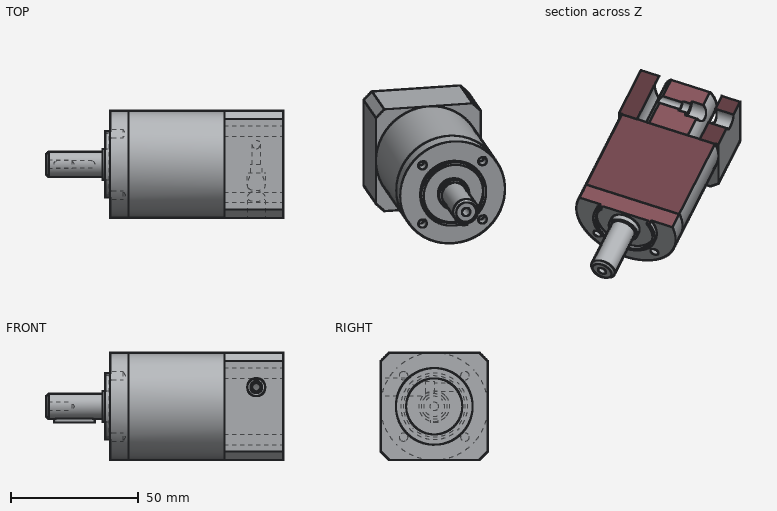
import cadquery as cq
import math


total_length = 92.7
body_width = 42.0
flange_thickness = 7.2
ring_length = 37.45
block_length = 23.0
block_corner_cut = 3.3

collar_diameter = 26.05
collar_height = 2.0
collar_recess_diameter = 24.0
collar_recess_depth = 1.5
shaft_diameter = 10.0
shaft_chamfer = 1.0
shoulder_diameter = 12.05
shoulder_height = 3.1
key_width = 3.0
key_length = 16.0
key_height = 1.4
key_tip_gap = 3.0

tapped_diameter = 3.3
drill_point_angle = 118
flange_hole_depth = 5.0
flange_hole_spacing = 24.0
shaft_hole_depth = 10.0

bore_diameter = 30.0
hub_diameter = 22.0
screw_height = 7.5
screw_end_distance = 10.6
access_diameter = 7.0
screw_seat_offset = 3.4
screw_clearance_diameter = 4.5

block_start = flange_thickness + ring_length
block_end = block_start + block_length
shaft_tip = block_end - total_length
screw_x = block_end - screw_end_distance


def cylinder_x(diameter, start, end):
    """Cylinder on the gearbox axis between two X positions."""
    return cq.Workplane("YZ").workplane(offset=start).circle(diameter / 2).extrude(end - start)


def cylinder_y(diameter, start, end):
    """Cylinder on the clamping screw axis between two Y positions."""
    return (
        cq.Workplane("XZ", origin=(screw_x, start, screw_height))
        .circle(diameter / 2)
        .extrude(start - end)
    )


def drilled_hole(start, depth, y=0, z=0):
    """Blind hole along +X with a conical drill point."""
    radius = tapped_diameter / 2
    point_length = radius / math.tan(math.radians(drill_point_angle / 2))
    profile = [(0, 0), (0, radius), (depth, radius), (depth + point_length, 0)]
    return (
        cq.Workplane("XY")
        .polyline(profile)
        .close()
        .revolve(360, (0, 0, 0), (1, 0, 0))
        .translate((start, y, z))
    )


def make_key():
    """Round-ended key on the -Z side of the shaft, reaching from the shaft axis outwards."""
    height = shaft_diameter / 2 + key_height
    return (
        cq.Workplane("XY")
        .center(shaft_tip + key_tip_gap + key_length / 2, 0)
        .slot2D(key_length, key_width)
        .extrude(-height)
    )


def make_output():
    """Output flange with its centring collar, shaft and key."""
    recess_floor = -collar_height + collar_recess_depth
    flange = cylinder_x(body_width, 0, flange_thickness)
    flange = flange.union(cylinder_x(collar_diameter, -collar_height, 0))
    flange = flange.cut(cylinder_x(collar_recess_diameter, -collar_height, recess_floor))
    hole_places = (-flange_hole_spacing / 2, flange_hole_spacing / 2)
    for y in hole_places:
        for z in hole_places:
            flange = flange.cut(drilled_hole(0, flange_hole_depth, y, z))

    shaft = cylinder_x(shaft_diameter, shaft_tip, recess_floor).faces("<X").chamfer(shaft_chamfer)
    shoulder = cylinder_x(shoulder_diameter, -shoulder_height, recess_floor)
    shaft = shaft.union(shoulder).union(make_key())
    shaft = shaft.cut(drilled_hole(shaft_tip, shaft_hole_depth))
    return flange.union(shaft)


def make_ring():
    """Round gear housing between the flange and the block."""
    return cylinder_x(body_width, flange_thickness, block_start)


def make_block():
    """Square input block with cut corners, a through bore and the screw access hole."""
    block = (
        cq.Workplane("YZ")
        .workplane(offset=block_start)
        .rect(body_width, body_width)
        .extrude(block_length)
        .edges("|X")
        .chamfer(block_corner_cut)
    )
    block = block.cut(cylinder_x(bore_diameter, block_start, block_end))
    return block.cut(cylinder_y(access_diameter, -body_width / 2, 0))


def make_hub():
    """Clamping hub with a sunk screw seat, a clearance hole to mid-plane and a tapped hole beyond."""
    hub = cylinder_x(hub_diameter, block_start, block_end)
    hub = hub.cut(cylinder_y(access_diameter, -hub_diameter / 2, -screw_seat_offset))
    hub = hub.cut(cylinder_y(screw_clearance_diameter, -screw_seat_offset, 0))
    return hub.cut(cylinder_y(tapped_diameter, 0, hub_diameter / 2))


output = make_output()
ring = make_ring()
block = make_block()
hub = make_hub()

result = cq.Compound.makeCompound([output.val(), ring.val(), block.val(), hub.val()])